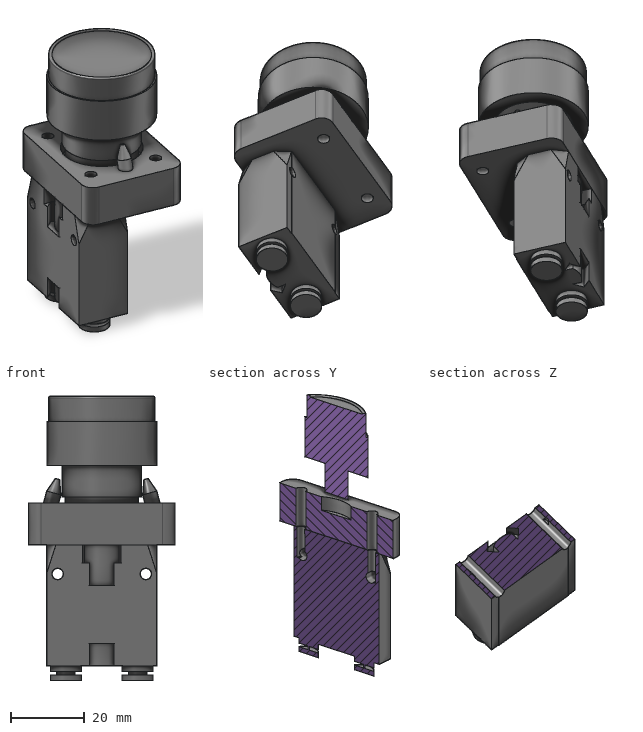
import cadquery as cq
import math

plate_length = 40.0
plate_width = 30.0
plate_height = 11.5
plate_corner_radius = 3.5
mount_hole_diameter = 3.25
mount_hole_x = 12.5
mount_hole_y = 10.0
head_recess_diameter = 22.5
head_recess_depth = 4.0

screw_diameter = 4.0
screw_tip_diameter = 1.25
screw_shank_length = 2.8
screw_cone_length = 3.95
screw_tilt = 15
screw_foot_x = 13.8
screw_root_length = 1.2

block_length = 30.0
block_width = plate_width / 2
block_height = 32.9
block_center_y = -block_width / 2
block_front_y = -block_width
corner_facet_x = 2.5
corner_facet_y = 4.2
corner_facet_height = 7.75

back_pad_width = block_length - 2 * corner_facet_x
back_pad_thickness = 0.15

cross_hole_diameter = 3.0
cross_hole_x = 12.0
cross_hole_depth_below_plate = 7.9
screw_hole_diameter = 2.5
screw_hole_depth = 9.0

column_diameter = 12.4
slot_mouth_width = 6.6
slot_flare = 2.3
upper_slot_depth = 11.0
lower_slot_height = 6.1
tee_width = 10.6
tee_height = 4.9
tee_recess = 3.4

foot_x = 9.8
foot_diameter = 8.5
foot_neck_diameter = 5.0
foot_flange_height = 1.55
foot_neck_height = 0.9
foot_height = 2 * foot_flange_height + foot_neck_height

stem_diameter = 20.0
stem_clearance = 1.6
neck_diameter = 21.7
neck_height = 8.5
bezel_diameter = plate_width
bezel_height = 12.0
cap_diameter = 29.0
cap_height = 6.9
rim_radius = 0.5

block_bottom_z = foot_height
block_top_z = block_bottom_z + block_height
plate_top_z = block_top_z + plate_height


def cylinder(diameter, height, base):
    """Upright cylinder standing on the point base."""
    return cq.Workplane("XY").add(cq.Solid.makeCylinder(diameter / 2, height, cq.Vector(*base)))


def tilted_screw(side):
    """Conical-ended screw on one side (+1 or -1), leaning towards the Z axis."""
    tilt = math.radians(screw_tilt)
    axis = cq.Vector(-side * math.sin(tilt), 0, math.cos(tilt))
    foot = cq.Vector(side * screw_foot_x, 0, plate_top_z)
    shank = cq.Solid.makeCylinder(
        screw_diameter / 2,
        screw_root_length + screw_shank_length,
        foot - axis * screw_root_length,
        axis,
    )
    cone = cq.Solid.makeCone(
        screw_diameter / 2,
        screw_tip_diameter / 2,
        screw_cone_length,
        foot + axis * screw_shank_length,
        axis,
    )
    return shank.fuse(cone)


def make_collar():
    """Mounting plate with its screw holes, head recess and two slanted screws."""
    plate = (
        cq.Workplane("XY", origin=(0, 0, block_top_z))
        .rect(plate_length, plate_width)
        .extrude(plate_height)
        .edges("|Z")
        .fillet(plate_corner_radius)
        .faces(">Z")
        .workplane()
        .rect(2 * mount_hole_x, 2 * mount_hole_y, forConstruction=True)
        .vertices()
        .hole(mount_hole_diameter)
    )
    recess_floor_z = plate_top_z - head_recess_depth
    plate = plate.cut(cylinder(head_recess_diameter, head_recess_depth, (0, 0, recess_floor_z)))
    for side in (-1, 1):
        plate = plate.union(cq.Workplane(tilted_screw(side)))
    return plate


def block_slab(length, front_y, back_y):
    """Box of the full block height, centred on X, between two Y positions."""
    slab = cq.Workplane("XY").box(length, back_y - front_y, block_height, centered=(True, False, False))
    return slab.translate((0, front_y, block_bottom_z))


def corner_wedge(side, corner_y, inward):
    """Tetrahedron that cuts one top corner of the block to a sloping facet."""
    corner_x = side * block_length / 2
    corner = cq.Vector(corner_x, corner_y, block_top_z)
    along_x = cq.Vector(corner_x - side * corner_facet_x, corner_y, block_top_z)
    along_y = cq.Vector(corner_x, corner_y + inward * corner_facet_y, block_top_z)
    below = cq.Vector(corner_x, corner_y, block_top_z - corner_facet_height)
    triangles = [
        (corner, along_x, along_y),
        (corner, along_y, below),
        (corner, below, along_x),
        (along_x, below, along_y),
    ]
    faces = [cq.Face.makeFromWires(cq.Wire.makePolygon(points, close=True)) for points in triangles]
    return cq.Workplane(cq.Solid.makeSolid(cq.Shell.makeShell(faces)))


def column():
    """Upright round core in the middle of the contact block."""
    return cylinder(column_diameter, block_height, (0, block_center_y, block_bottom_z))


def flared_slot(bottom_z, height):
    """Slot up to the core, with a 45 degree V pocket opening out behind each edge of its mouth."""
    mouth = slot_mouth_width / 2
    right_side = [
        (mouth, block_front_y),
        (mouth + slot_flare, block_front_y + slot_flare),
        (mouth, block_front_y + 2 * slot_flare),
    ]
    left_side = [(-x, y) for x, y in reversed(right_side)]
    outline = cq.Workplane("XY", origin=(0, 0, bottom_z)).polyline(right_side + left_side).close()
    core = column().intersect(block_slab(slot_mouth_width, block_front_y, 0))
    return outline.extrude(height).cut(core)


def front_slots():
    """Both front slots and the wide top recess, without the column they surround."""
    tee = cq.Workplane("XY").box(tee_width, tee_recess, tee_height, centered=(True, False, False))
    tee = tee.translate((0, block_front_y, block_top_z - tee_height)).cut(column())
    upper_slot = flared_slot(block_top_z - upper_slot_depth, upper_slot_depth - tee_height)
    lower_slot = flared_slot(block_bottom_z, lower_slot_height)
    return tee.union(upper_slot).union(lower_slot)


def foot(side):
    """Terminal foot on one side (+1 or -1): two flanges with a thinner neck between them."""
    base_x = side * foot_x
    upper_flange_z = foot_flange_height + foot_neck_height
    lower_flange = cylinder(foot_diameter, foot_flange_height, (base_x, block_center_y, 0))
    neck = cylinder(foot_neck_diameter, foot_neck_height, (base_x, block_center_y, foot_flange_height))
    upper_flange = cylinder(foot_diameter, foot_flange_height, (base_x, block_center_y, upper_flange_z))
    return lower_flange.union(neck).union(upper_flange)


def make_contact_block():
    """Block with its back pad, corner facets, front slots, screw holes and terminal feet."""
    block = block_slab(block_length, block_front_y, 0).cut(front_slots())
    block = block.union(block_slab(back_pad_width, 0, back_pad_thickness))
    cross_hole_z = block_top_z - cross_hole_depth_below_plate
    for side in (-1, 1):
        block = block.cut(corner_wedge(side, block_front_y, 1))
        block = block.cut(corner_wedge(side, 0, -1))
        cross_hole = cq.Solid.makeCylinder(
            cross_hole_diameter / 2,
            block_width + back_pad_thickness,
            cq.Vector(side * cross_hole_x, block_front_y, cross_hole_z),
            cq.Vector(0, 1, 0),
        )
        block = block.cut(cq.Workplane(cross_hole))
        screw_hole_base = (side * mount_hole_x, -mount_hole_y, block_top_z - screw_hole_depth)
        block = block.cut(cylinder(screw_hole_diameter, screw_hole_depth, screw_hole_base))
        block = block.union(foot(side))
    return block


def make_head():
    """Turned push-button: stem, neck, bezel and a cap with a rounded rim."""
    neck_bottom = head_recess_depth + stem_clearance
    bezel_bottom = neck_bottom + neck_height
    cap_bottom = bezel_bottom + bezel_height
    rim_base = cap_bottom + cap_height - rim_radius
    rim_top = rim_base + rim_radius
    cap_radius = cap_diameter / 2
    return (
        cq.Workplane("XZ", origin=(0, 0, plate_top_z - head_recess_depth))
        .moveTo(0, 0)
        .lineTo(stem_diameter / 2, 0)
        .lineTo(stem_diameter / 2, neck_bottom)
        .lineTo(neck_diameter / 2, neck_bottom)
        .lineTo(neck_diameter / 2, bezel_bottom)
        .lineTo(bezel_diameter / 2, bezel_bottom)
        .lineTo(bezel_diameter / 2, cap_bottom)
        .lineTo(cap_radius, cap_bottom)
        .lineTo(cap_radius, rim_base)
        .threePointArc((cap_radius - rim_radius, rim_top), (cap_radius - 2 * rim_radius, rim_base))
        .lineTo(0, rim_base)
        .close()
        .revolve(360, (0, 0, 0), (0, 1, 0))
    )


head = make_head()
collar = make_collar()
contact_block = make_contact_block()

result = cq.Compound.makeCompound([head.val(), collar.solids().val(), contact_block.solids().val()])